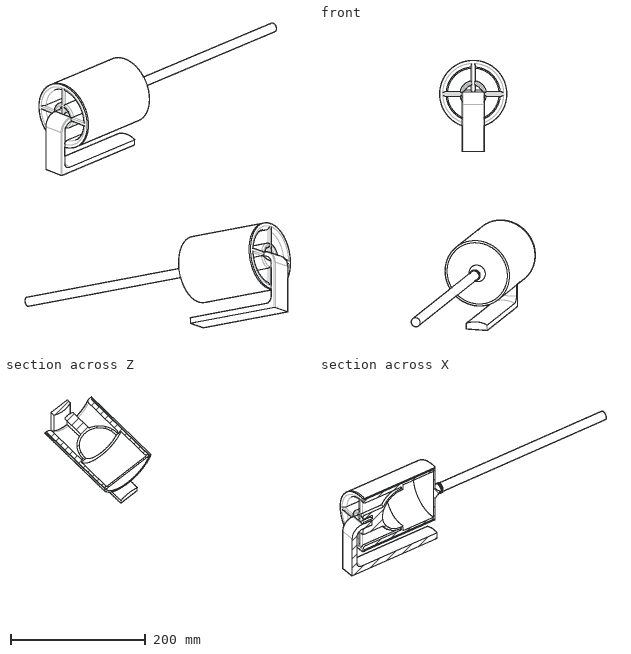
import cadquery as cq
import math


total_length = 467.0
cup_front = 20.0
cup_rear = 152.5

cup_radius = 50.0
bore_radius = 46.5

flange_thickness = 3.0
flange_rear = cup_front + flange_thickness
pocket_radius = 40.0
pocket_edge_round = 5.0
pocket_floor = 90.0
dome_radius = 38.5
dome_wall = 3.7
liner_wall = 3.7

hub_radius = 19.5
hub_bore_radius = 13.0
hub_bore_floor = 37.5
arm_seat_top = 5.5
hub_edge_round = 2.5
web_thickness = 7.0
web_edge_round = 2.0
web_angles = (0, 90)

lid_thickness = 3.5
lid_front = cup_rear - lid_thickness
flare_radius = 12.5
neck_radius = 7.5
collar_radius = 8.0
collar_front = 163.5
collar_seam = 165.5
collar_rear = 167.0
rod_radius = 7.0

bracket_width = 33.0
crown_height = 3.7
arm_top = 3.0
bar_bottom = -85.5
bar_end = 156.0
upright_edge_thickness = 7.0
bar_edge_thickness = 8.5
upper_bend_outer = 18.5
upper_bend_inner = upper_bend_outer - upright_edge_thickness
lower_bend_inner = 9.5
bracket_edge_round = 1.15

DIAGONAL = math.sqrt(0.5)


def revolved(profile):
    """Revolve a closed (radius, Y) profile around the cup axis."""
    return profile.close().revolve(360, (0, 0), (0, 1))


def cylinder_along_axis(radius, start, end):
    return cq.Workplane("XZ", origin=(0, start, 0)).circle(radius).extrude(start - end)


def make_bracket():
    arm_bottom = arm_top - upright_edge_thickness
    bar_top = bar_bottom + bar_edge_thickness
    upper_centre = (upper_bend_outer, arm_top - upper_bend_outer)
    lower_centre = (upright_edge_thickness + lower_bend_inner, bar_top + lower_bend_inner)
    upper_mid_outer = [upper_centre[0] - DIAGONAL * upper_bend_outer,
                       upper_centre[1] + DIAGONAL * upper_bend_outer]
    upper_mid_inner = [upper_centre[0] - DIAGONAL * upper_bend_inner,
                       upper_centre[1] + DIAGONAL * upper_bend_inner]
    lower_mid_inner = [lower_centre[0] - DIAGONAL * lower_bend_inner,
                       lower_centre[1] - DIAGONAL * lower_bend_inner]

    def along_inner_side(wire):
        """Continue a wire from the arm's end along the inner side to the bar's end."""
        return (
            wire.lineTo(upper_centre[0], arm_bottom)
            .threePointArc(upper_mid_inner, (upright_edge_thickness, upper_centre[1]))
            .lineTo(upright_edge_thickness, lower_centre[1])
            .threePointArc(lower_mid_inner, (lower_centre[0], bar_top))
            .lineTo(bar_end, bar_top)
        )

    inner_side = along_inner_side(cq.Workplane("YZ").moveTo(hub_bore_floor, arm_bottom))
    strip = (
        along_inner_side(cq.Workplane("YZ").moveTo(hub_bore_floor, arm_bottom))
        .lineTo(bar_end, bar_bottom)
        .lineTo(0, bar_bottom)
        .lineTo(0, upper_centre[1])
        .threePointArc(upper_mid_outer, (upper_centre[0], arm_top))
        .lineTo(hub_bore_floor, arm_top)
        .close()
        .extrude(bracket_width / 2, both=True)
    )
    outer_edges = strip.faces("<Y").edges("|Z")
    end_edges = strip.faces(">Y").edges("|Z")
    strip = strip.newObject(outer_edges.vals() + end_edges.vals()).fillet(bracket_edge_round)
    crown = (
        cq.Workplane("XZ", origin=(0, hub_bore_floor, 0))
        .moveTo(-bracket_width / 2, arm_bottom)
        .threePointArc((0, arm_bottom - crown_height), (bracket_width / 2, arm_bottom))
        .close()
        .sweep(inner_side)
    )
    return strip.union(crown)


def make_cup():
    return cylinder_along_axis(cup_radius, flange_rear, cup_rear).cut(
        cylinder_along_axis(bore_radius, flange_rear, cup_rear)
    )


def make_dome(radius):
    return cq.Workplane("XY").sphere(radius).translate((0, pocket_floor, 0))


def make_front_pocket():
    """The round pocket in the liner's front, with a rounded mouth and the dome rising from its floor."""
    edge_shift = pocket_edge_round * (1 - DIAGONAL)
    pocket = revolved(
        cq.Workplane("XY")
        .moveTo(0, cup_front)
        .lineTo(pocket_radius + pocket_edge_round, cup_front)
        .threePointArc((pocket_radius + edge_shift, cup_front + edge_shift),
                       (pocket_radius, cup_front + pocket_edge_round))
        .lineTo(pocket_radius, pocket_floor)
        .lineTo(0, pocket_floor)
    )
    return pocket.cut(make_dome(dome_radius))


def make_hub():
    """A round hub whose bore is open only above the flat seat that holds the bracket's arm."""
    hub = cylinder_along_axis(hub_radius, cup_front, pocket_floor)
    above_seat = cq.Workplane("XY", origin=(0, hub_bore_floor, arm_seat_top)).box(
        2 * hub_radius, 2 * hub_bore_floor, hub_radius, centered=(True, True, False)
    )
    bore = cylinder_along_axis(hub_bore_radius, cup_front, hub_bore_floor).intersect(above_seat)
    hub = hub.cut(bore)
    return hub.faces("<Y").edges().fillet(hub_edge_round)


def make_web(angle):
    """One web across the whole pocket, turned about the cup axis."""
    web_depth = pocket_floor - cup_front
    return (
        cq.Workplane("XY")
        .box(2 * bore_radius, web_depth, web_thickness)
        .faces("<Y").edges("|X").fillet(web_edge_round)
        .translate((0, cup_front + web_depth / 2, 0))
        .rotate((0, 0, 0), (0, 1, 0), angle)
    )


def make_liner(bracket):
    flange = cylinder_along_axis(cup_radius, cup_front, flange_rear)
    body = cylinder_along_axis(bore_radius, flange_rear, lid_front)
    rear_hollow = cylinder_along_axis(bore_radius - liner_wall, pocket_floor + dome_wall, lid_front)
    pocket = make_front_pocket().cut(make_hub())
    for angle in web_angles:
        pocket = pocket.cut(make_web(angle))
    return (
        flange.union(body)
        .cut(rear_hollow)
        .cut(make_dome(dome_radius - dome_wall))
        .cut(pocket)
        .cut(bracket)
    )


def make_lid():
    flare_length = collar_front - cup_rear
    flare_growth = flare_radius - neck_radius
    arc_radius = (flare_growth**2 + flare_length**2) / (2 * flare_growth)
    half_angle = math.asin(flare_length / arc_radius) / 2
    flare_mid = (neck_radius + arc_radius * (1 - math.cos(half_angle)),
                 collar_front - arc_radius * math.sin(half_angle))
    return revolved(
        cq.Workplane("XY")
        .moveTo(0, lid_front)
        .lineTo(bore_radius, lid_front)
        .lineTo(bore_radius, cup_rear)
        .lineTo(flare_radius, cup_rear)
        .threePointArc(flare_mid, (neck_radius, collar_front))
        .lineTo(collar_radius, collar_front)
        .lineTo(collar_radius, collar_seam)
        .lineTo(0, collar_seam)
    )


def make_rod():
    foot = cylinder_along_axis(collar_radius, collar_seam, collar_rear)
    return foot.union(cylinder_along_axis(rod_radius, collar_rear, total_length))


bracket = make_bracket()
cup = make_cup()
liner = make_liner(bracket)
lid = make_lid()
rod = make_rod()

bodies = [bracket, cup, liner, lid, rod]
result = cq.Compound.makeCompound([body.solids().val() for body in bodies])